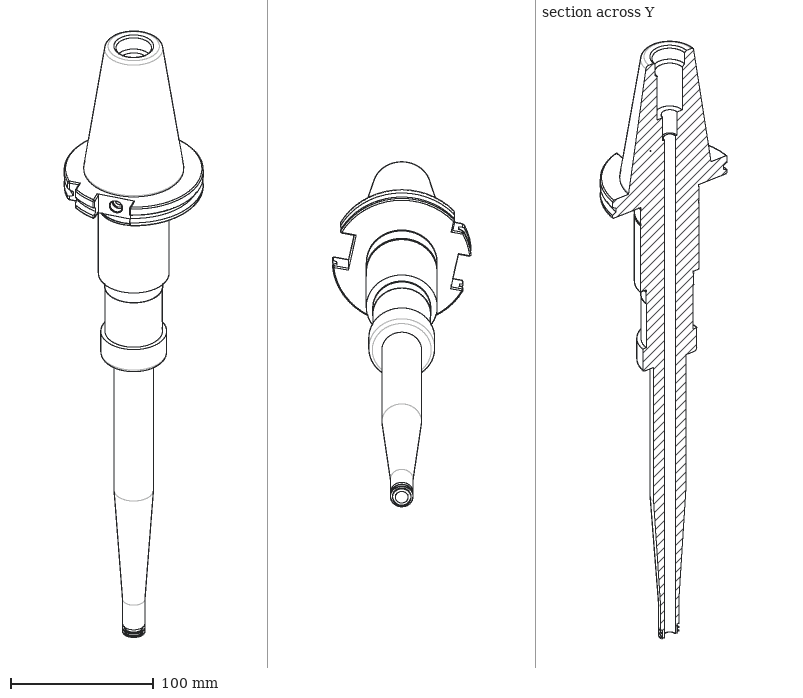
import cadquery as cq
import math

total_height = 497.5
flange_dia = 97.5

taper_bottom = 394.5
flange_top = 393.5
flange_bottom = 377.5
body_groove_top = 363.5
body_bottom = 305.0
neck_line = 293.5
collar_top = 256.0
collar_bottom = 236.0
shank_bottom = 121.0
nose_top = 28.5
nose_bottom = 7.5

taper_small_dia = 40.5
taper_large_dia = 70.0
body_dia = 50.0
neck_dia = 41.0
neck_lower_dia = 40.5
collar_dia = 46.5
shank_dia = 28.0
nose_dia = 16.0
tip_dia = 13.0

relief_depth = 0.25
relief_width = 1.5

taper_fillet = 2.5
collar_fillet = 2.5
rim_chamfer = 1.0
slot_chamfer = 1.0

ridge_tops = (4.5, 1.5)
ridge_width = 0.5

groove_middle = 384.0
groove_floor = 3.0
groove_depth = 3.0
groove_flank_angle = 30

slot_width = 26.0
front_slot_distance = 38.0
rear_slot_distance = 35.5
notch_distance = 30.5

side_mouth_dia = 10.0
side_thread_dia = 9.0
side_thread_depth = 5.0
side_drill_dia = 7.0
side_drill_depth = 8.0

through_dia = 9.0
inner_dia = 12.0
inner_bottom = 428.0
thread_dia = 21.0
thread_bottom = 448.0
pilot_dia = 25.0
pilot_bottom = 486.5
mouth_dia = 28.0

flange_height = flange_top - flange_bottom
flange_radius = flange_dia / 2


def revolve(points):
    """Turn a profile of (radius, height) points about the Z axis."""
    return cq.Workplane("XZ").polyline(points).close().revolve(360, (0, 0, 0), (0, 1, 0))


def relief(dia, top):
    """Profile points, going down, of a shallow groove in a cylinder."""
    outer = dia / 2
    inner = outer - relief_depth
    bottom = top - relief_width
    return [(outer, top), (inner, top), (inner, bottom), (outer, bottom)]


def ridge(top):
    """Profile points, going down, of one thin ridge standing on the tip."""
    bottom = top - ridge_width
    return [(tip_dia / 2, top), (nose_dia / 2, top), (nose_dia / 2, bottom), (tip_dia / 2, bottom)]


def make_shaft():
    points = [
        (0, total_height),
        (taper_small_dia / 2, total_height),
        (taper_large_dia / 2, taper_bottom),
        (taper_large_dia / 2, flange_bottom),
    ]
    points += relief(body_dia, flange_bottom)
    points += relief(body_dia, body_groove_top)
    points.append((body_dia / 2, body_bottom))
    points += relief(neck_dia, body_bottom)
    points += [
        (neck_dia / 2, neck_line),
        (neck_lower_dia / 2, neck_line),
        (neck_lower_dia / 2, collar_bottom),
        (shank_dia / 2, collar_bottom),
        (shank_dia / 2, shank_bottom),
        (nose_dia / 2, nose_top),
        (nose_dia / 2, nose_bottom),
        (tip_dia / 2, nose_bottom),
    ]
    for top in ridge_tops:
        points += ridge(top)
    points += [(tip_dia / 2, 0), (0, 0)]
    return revolve(points).faces(">Z").edges().fillet(taper_fillet)


def make_collar():
    collar = cq.Workplane("XY").workplane(offset=collar_bottom)
    collar = collar.circle(collar_dia / 2).extrude(collar_top - collar_bottom)
    return collar.faces("<Z").edges().fillet(collar_fillet)


def cutting_block(x_min, x_max, y_min, y_max):
    """Block through the flange height."""
    size = (x_max - x_min, y_max - y_min, flange_height)
    corner = (x_min, y_min, flange_bottom)
    return cq.Workplane("XY").box(*size, centered=False).translate(corner)


def chamfer_inside(flange, low, high):
    """Chamfer the edges whose middles lie between two (x, y) corners."""
    box = cq.selectors.BoxSelector((*low, flange_bottom - slot_chamfer), (*high, flange_top + slot_chamfer))
    return flange.edges(box).chamfer(slot_chamfer)


def make_gripper_groove():
    """Ring-shaped cutter whose flanks run on past the rim."""
    clear_radius = flange_radius + groove_depth
    depth = 2 * groove_depth
    half_floor = groove_floor / 2
    half_mouth = half_floor + depth * math.tan(math.radians(groove_flank_angle))
    floor_radius = flange_radius - groove_depth
    return revolve([
        (floor_radius, groove_middle - half_floor),
        (clear_radius, groove_middle - half_mouth),
        (clear_radius, groove_middle + half_mouth),
        (floor_radius, groove_middle + half_floor),
    ])


def make_flange():
    base = cq.Workplane("XY").workplane(offset=flange_bottom)
    flange = base.circle(flange_radius).extrude(flange_height)
    flange = flange.faces("<Z or >Z").edges().chamfer(rim_chamfer)

    half_slot = slot_width / 2
    flange = flange.cut(cutting_block(-half_slot, half_slot, -flange_radius, -front_slot_distance))
    flange = flange.cut(cutting_block(-half_slot, half_slot, rear_slot_distance, flange_radius))
    flange = flange.cut(cutting_block(-flange_radius, -notch_distance, -flange_radius, -notch_distance))

    margin = slot_chamfer / 2
    reach = half_slot + margin
    outer_corner = (-flange_radius, -flange_radius)
    notch_near = -notch_distance + margin
    notch_far = -notch_distance - margin
    flange = chamfer_inside(flange, (-reach, -flange_radius), (reach, -front_slot_distance - margin))
    flange = chamfer_inside(flange, (-reach, rear_slot_distance + margin), (reach, flange_radius))
    flange = chamfer_inside(flange, outer_corner, (notch_far, notch_near))
    flange = chamfer_inside(flange, outer_corner, (notch_near, notch_far))

    return flange.cut(make_gripper_groove())


def make_bore():
    thread_lead = (pilot_dia - thread_dia) / 2
    mouth_depth = (mouth_dia - pilot_dia) / 2
    return revolve([
        (0, 0),
        (through_dia / 2, 0),
        (through_dia / 2, inner_bottom),
        (inner_dia / 2, inner_bottom),
        (inner_dia / 2, thread_bottom),
        (thread_dia / 2, thread_bottom),
        (thread_dia / 2, pilot_bottom - thread_lead),
        (pilot_dia / 2, pilot_bottom),
        (pilot_dia / 2, total_height - mouth_depth),
        (mouth_dia / 2, total_height),
        (0, total_height),
    ])


def make_side_hole():
    sink = (side_mouth_dia - side_thread_dia) / 2
    profile = [
        (0, 0),
        (side_mouth_dia / 2, 0),
        (side_thread_dia / 2, -sink),
        (side_thread_dia / 2, -side_thread_depth),
        (side_drill_dia / 2, -side_thread_depth),
        (side_drill_dia / 2, -side_drill_depth),
        (0, -side_drill_depth - side_drill_dia / 2),
    ]
    hole = revolve(profile).rotate((0, 0, 0), (1, 0, 0), 90)
    return hole.translate((0, -front_slot_distance, (flange_top + flange_bottom) / 2))


result = make_shaft().union(make_collar()).union(make_flange())
result = result.cut(make_bore()).cut(make_side_hole())